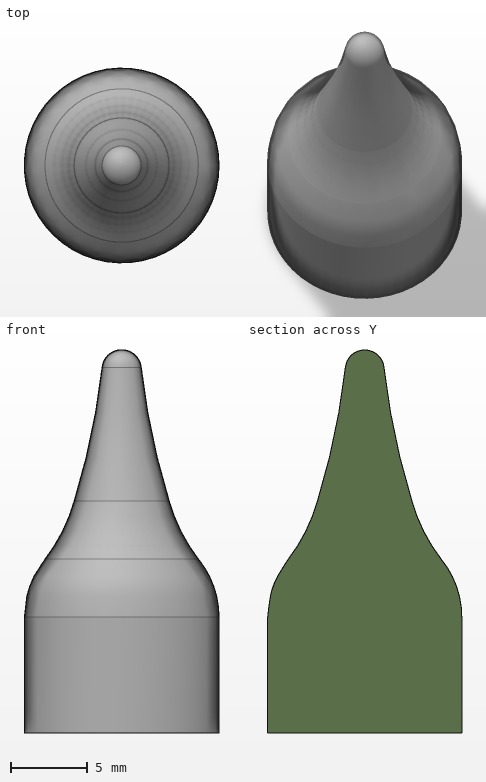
import cadquery as cq

total_height = 25.0
body_radius = 6.35
body_height = 7.58
section_height = 3.78
shoulder_top_radius = 5.0
flare_top_radius = 3.1
neck_top_radius = 1.28
tip_height = 1.15

flare_mid_radius = 3.82
neck_mid_radius = 1.98

shoulder_top = body_height + section_height
flare_top = shoulder_top + section_height
neck_top = total_height - tip_height

tip_radius = (neck_top_radius**2 + tip_height**2) / (2 * tip_height)


def midway(lower, upper):
    """Height halfway between two section heights."""
    return (lower + upper) / 2


profile = (
    cq.Workplane("XZ")
    .lineTo(body_radius, 0)
    .lineTo(body_radius, body_height)
    .tangentArcPoint((shoulder_top_radius, shoulder_top), relative=False)
    .threePointArc((flare_mid_radius, midway(shoulder_top, flare_top)), (flare_top_radius, flare_top))
    .threePointArc((neck_mid_radius, midway(flare_top, neck_top)), (neck_top_radius, neck_top))
    .radiusArc((0, total_height), -tip_radius)
    .close()
)

result = profile.revolve(360, (0, 0, 0), (0, 1, 0))